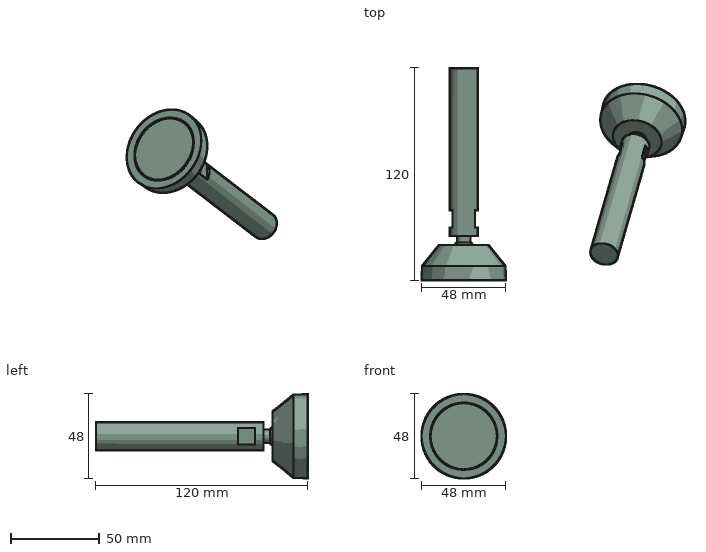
import cadquery as cq
import math

total_length = 120.0

foot_diameter = 48.0
shoulder_diameter = 47.3
foot_top_diameter = 28.0
shoulder_height = 8.0
foot_height = 20.0
groove_outer_diameter = 38.0
groove_inner_diameter = 37.5
groove_depth = 1.0

shaft_diameter = 16.0
shaft_start = 25.0
neck_diameter = 7.8
ball_diameter = 12.0
ball_exposed_height = 1.5
flat_start = 30.0
flat_length = 9.6
across_flats = 13.0

neck_start = foot_height + ball_exposed_height
ball_to_neck = math.sqrt((ball_diameter / 2) ** 2 - (neck_diameter / 2) ** 2)
ball_center = neck_start - ball_to_neck


def cylinder(diameter, start, end):
    """Cylinder on the Y axis between two heights."""
    return cq.Workplane("XZ", origin=(0, start, 0)).circle(diameter / 2).extrude(start - end)


def make_ball():
    """Ball shared by the spindle end and its socket."""
    return cq.Workplane("XY").sphere(ball_diameter / 2).translate((0, ball_center, 0))


def make_foot():
    """Conical foot with a thin ring groove underneath and a ball socket."""
    body = (
        cq.Workplane("XY")
        .moveTo(0, 0)
        .lineTo(foot_diameter / 2, 0)
        .lineTo(shoulder_diameter / 2, shoulder_height)
        .lineTo(foot_top_diameter / 2, foot_height)
        .lineTo(0, foot_height)
        .close()
        .revolve(360, (0, 0), (0, 1))
    )
    groove = cylinder(groove_outer_diameter, 0, groove_depth).cut(
        cylinder(groove_inner_diameter, 0, groove_depth)
    )
    return body.cut(groove).cut(make_ball())


def make_spindle():
    """Shaft with two wrench flats, a neck and a ball end."""
    shaft = cylinder(shaft_diameter, shaft_start, total_length)
    flat_depth = (shaft_diameter - across_flats) / 2
    for side in (-1, 1):
        flat_cut = cq.Workplane("XY").box(flat_depth, flat_length, shaft_diameter).translate(
            (side * (across_flats + flat_depth) / 2, flat_start + flat_length / 2, 0)
        )
        shaft = shaft.cut(flat_cut)
    neck = cylinder(neck_diameter, ball_center, shaft_start)
    return shaft.union(neck).union(make_ball())


foot = make_foot().solids()
spindle = make_spindle().solids()

result = cq.Compound.makeCompound([foot.val(), spindle.val()])